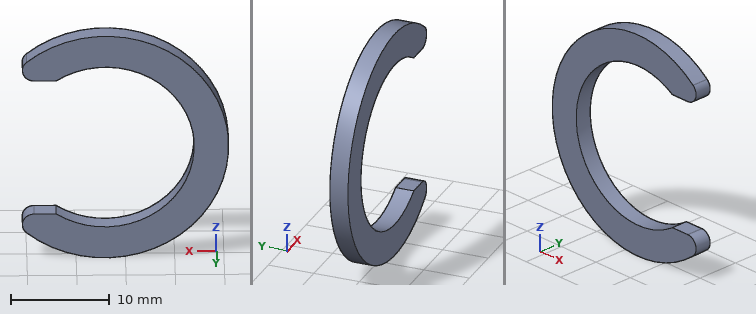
import cadquery as cq
import math

outer_radius = 12.5
inner_radius = 9.0
thickness = 2.0
gap_half_height = 7.5
tip_radius = 1.2

inner_corner_x = math.sqrt(inner_radius**2 - gap_half_height**2)
tip_center_z = gap_half_height + tip_radius
tip_center_distance = outer_radius - tip_radius
tip_center_x = math.sqrt(tip_center_distance**2 - tip_center_z**2)
tangent_scale = outer_radius / tip_center_distance
tangent_x = tip_center_x * tangent_scale
tangent_z = tip_center_z * tangent_scale
tip_end_x = tip_center_x + tip_radius

outline = (
    cq.Workplane("XZ", origin=(0, thickness / 2, 0))
    .moveTo(inner_corner_x, gap_half_height)
    .lineTo(tip_center_x, gap_half_height)
    .threePointArc((tip_end_x, tip_center_z), (tangent_x, tangent_z))
    .threePointArc((-outer_radius, 0), (tangent_x, -tangent_z))
    .threePointArc((tip_end_x, -tip_center_z), (tip_center_x, -gap_half_height))
    .lineTo(inner_corner_x, -gap_half_height)
    .threePointArc((-inner_radius, 0), (inner_corner_x, gap_half_height))
    .close()
)

result = outline.extrude(thickness)